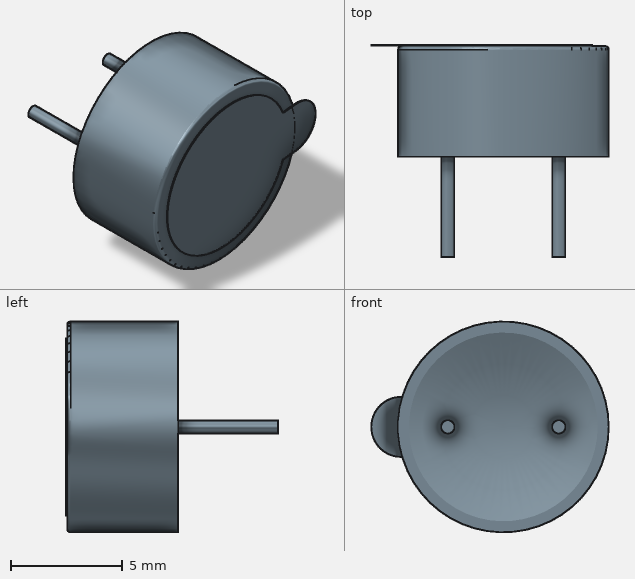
import cadquery as cq

body_diameter = 9.5
body_length = 5.0
back_edge_radius = 0.16

rim_inner_diameter = 8.5
dish_depth = 0.26

pin_diameter = 0.6
pin_spacing = 5.0
pin_length = 4.5

label_diameter = 8.0
label_thickness = 0.05
tab_width = 2.72
tab_reach = 5.95


def cylinder_along_y(diameter, y_start, y_end, x=0):
    """Cylinder parallel to Y between two Y positions."""
    profile = cq.Workplane("XZ", origin=(x, y_start, 0)).circle(diameter / 2)
    return profile.extrude(y_start - y_end)


def make_body():
    """Round case, front rim at Y = 0, with a rounded back edge."""
    body = cylinder_along_y(body_diameter, 0, body_length)
    return body.faces(">Y").edges().fillet(back_edge_radius)


def make_dish():
    """Shallow spherical cap removed from the front face."""
    rim_radius = rim_inner_diameter / 2
    sphere_radius = (rim_radius**2 + dish_depth**2) / (2 * dish_depth)
    mid_depth_radius = rim_radius / 2
    mid_depth = dish_depth - sphere_radius + (sphere_radius**2 - mid_depth_radius**2) ** 0.5
    profile = (
        cq.Workplane("XY")
        .lineTo(rim_radius, 0)
        .threePointArc((mid_depth_radius, mid_depth), (0, dish_depth))
        .close()
    )
    return profile.revolve(360, (0, 0, 0), (0, 1, 0))


def make_label():
    """Thin round label on the back, with a round-ended pull tab towards -X."""
    label_back = body_length + label_thickness
    disc = cylinder_along_y(label_diameter, body_length, label_back)
    tab_center = tab_reach - tab_width / 2
    tab_end = cylinder_along_y(tab_width, body_length, label_back, -tab_center)
    tab_strip = cq.Workplane("XY").box(
        tab_center, label_thickness, tab_width, centered=(False, False, True)
    ).translate((-tab_center, body_length, 0))
    return disc.union(tab_strip).union(tab_end)


result = make_body().cut(make_dish()).union(make_label())

for side in (-1, 1):
    pin = cylinder_along_y(pin_diameter, -pin_length, 2 * dish_depth, side * pin_spacing / 2)
    result = result.union(pin)